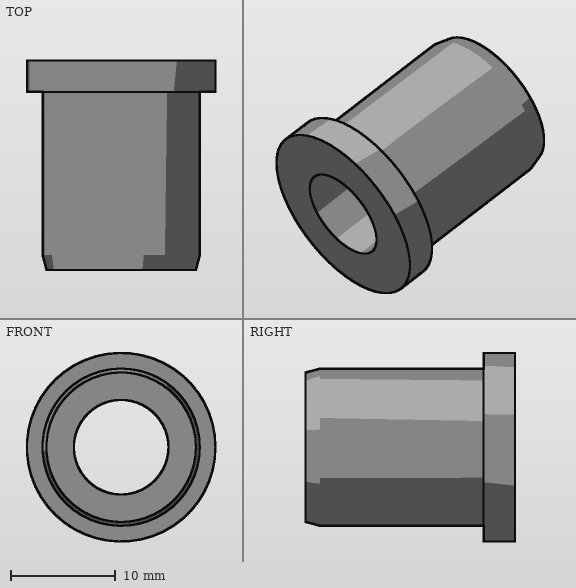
import cadquery as cq
import math

total_length = 20.0
flange_diameter = 18.0
flange_thickness = 3.0
body_diameter = 15.0
bore_diameter = 9.0
lead_in_length = 1.4
lead_in_angle = 15.0

flange_radius = flange_diameter / 2
body_radius = body_diameter / 2
bore_radius = bore_diameter / 2
tip_radius = body_radius - lead_in_length * math.tan(math.radians(lead_in_angle))

front_y = -total_length / 2
back_y = total_length / 2
lead_in_end_y = front_y + lead_in_length
flange_face_y = back_y - flange_thickness

half_section = (
    cq.Workplane("XY")
    .moveTo(bore_radius, front_y)
    .lineTo(tip_radius, front_y)
    .lineTo(body_radius, lead_in_end_y)
    .lineTo(body_radius, flange_face_y)
    .lineTo(flange_radius, flange_face_y)
    .lineTo(flange_radius, back_y)
    .lineTo(bore_radius, back_y)
    .close()
)

result = half_section.revolve(360, (0, 0, 0), (0, 1, 0))